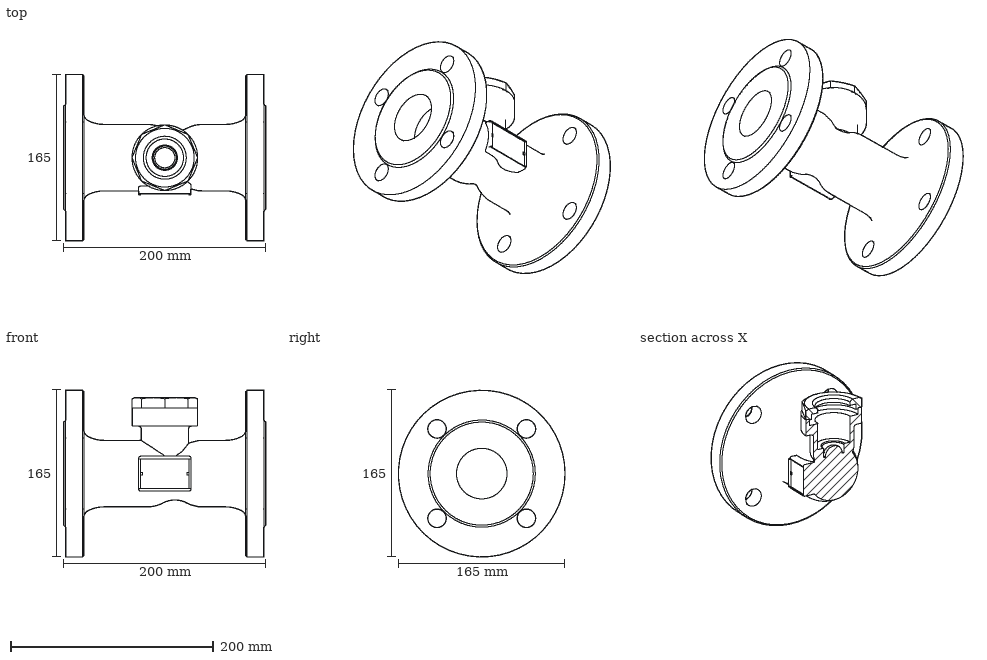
import cadquery as cq
import math

overall_length = 200.0
half_length = overall_length / 2
flange_diameter = 165.0
flange_thickness = 18.0
flange_chamfer = 1.5
raised_face_diameter = 106.0
raised_face_height = 2.0
raised_face_chamfer = 2.0
bolt_circle_diameter = 125.0
bolt_hole_diameter = 18.0
bolt_count = 4
bore_diameter = 50.0
bore_depth = 29.0

pipe_radius = 66.0 / 2
straight_end_x = 60.0
hub_end_x = 75.4
hub_end_radius = 36.5
hub_foot_radius = 42.3
waist_centre_x = 9.9
waist_half_length = 27.1
waist_inner_half_length = 11.9
waist_depth = 6.8

neck_radius = 47.0 / 2
neck_bottom_z = 17.0
neck_round_end_z = 20.1
neck_round_start_z = 23.2
neck_round_inset = 0.9
neck_foot_radius = neck_radius - 0.2
neck_top_z = 44.0
collar_radius = 65.0 / 2
collar_bottom_z = 46.9
collar_top_z = 64.7
collar_edge_round = 1.3
neck_flare_radius = neck_radius + collar_bottom_z - neck_top_z

seat_diameter = 56.0
seat_z = 57.7
chamber_diameter = 37.0
chamber_floor_z = 30.0
socket_diameter = 25.0
socket_floor_diameter = 23.0
dome_radius = 10.0
socket_floor_z = chamber_floor_z - dome_radius

plug_top_z = 75.5
plug_corner_diameter = 65.0
plug_side_count = 8
plug_face_diameter = 58.0
plug_edge_slope = math.radians(24)
spigot_bottom_z = 63.2
window_diameter = 37.0
window_chamfer = 2.75
window_lip_bottom_z = 68.7
glass_recess_diameter = 51.0

pad_half_width = 25.8
pad_half_height = 17.2
pad_front_y = -35.7
pad_edge_round = 2.3
pad_end_round = 1.8
plate_half_height = 14.7
plate_recess_depth = 0.6
end_bar_width = 1.9
end_bar_rise = 1.3
end_bar_round = 0.9
rivet_width = 2.0
rivet_height = 2.6


def cylinder_along_z(diameter, bottom_z, top_z):
    return cq.Workplane("XY").workplane(offset=bottom_z).circle(diameter / 2).extrude(top_z - bottom_z)


def tangent_arc_middle(start, end):
    """Middle point of the arc from start to end that leaves start parallel to the X axis."""
    dx = end[0] - start[0]
    dr = end[1] - start[1]
    quarter_angle = math.atan2(abs(dr), abs(dx)) / 2
    half_chord = math.hypot(dx, dr) / 2
    reach = half_chord / math.cos(quarter_angle)
    return (
        start[0] + math.copysign(reach * math.cos(quarter_angle), dx),
        start[1] + math.copysign(reach * math.sin(quarter_angle), dr),
    )


def make_end():
    """Flange with raised face and tapered hub at the +X end."""
    rim_x = half_length - raised_face_height
    back_x = rim_x - flange_thickness
    rim_radius = flange_diameter / 2
    face_radius = raised_face_diameter / 2
    hub_start = (straight_end_x, pipe_radius)
    hub_end = (hub_end_x, hub_end_radius)
    end = (
        cq.Workplane("XY")
        .moveTo(straight_end_x, 0)
        .lineTo(*hub_start)
        .threePointArc(tangent_arc_middle(hub_start, hub_end), hub_end)
        .tangentArcPoint((back_x, hub_foot_radius), relative=False)
        .lineTo(back_x, rim_radius - flange_chamfer)
        .lineTo(back_x + flange_chamfer, rim_radius)
        .lineTo(rim_x, rim_radius)
        .lineTo(rim_x, face_radius)
        .lineTo(half_length, face_radius - raised_face_chamfer)
        .lineTo(half_length, 0)
        .close()
        .revolve(360, (0, 0, 0), (1, 0, 0))
    )
    bolt_holes = (
        cq.Workplane("YZ")
        .workplane(offset=back_x)
        .polarArray(bolt_circle_diameter / 2, 180 / bolt_count, 360, bolt_count)
        .circle(bolt_hole_diameter / 2)
        .extrude(flange_thickness)
    )
    bore = (
        cq.Workplane("YZ")
        .workplane(offset=half_length - bore_depth)
        .circle(bore_diameter / 2)
        .extrude(bore_depth)
    )
    return end.cut(bolt_holes).cut(bore)


def make_pipe():
    """Round pipe between the hubs with a smooth waist of two mirrored S-curves."""
    waist_radius = pipe_radius - waist_depth
    shoulder_length = waist_half_length - waist_inner_half_length
    inflection_radius = pipe_radius - waist_depth * shoulder_length / waist_half_length
    left_start = (waist_centre_x - waist_half_length, pipe_radius)
    left_inflection = (waist_centre_x - waist_inner_half_length, inflection_radius)
    middle = (waist_centre_x, waist_radius)
    right_inflection = (waist_centre_x + waist_inner_half_length, inflection_radius)
    right_start = (waist_centre_x + waist_half_length, pipe_radius)
    return (
        cq.Workplane("XY")
        .moveTo(-straight_end_x, 0)
        .lineTo(-straight_end_x, pipe_radius)
        .lineTo(*left_start)
        .threePointArc(tangent_arc_middle(left_start, left_inflection), left_inflection)
        .threePointArc(tangent_arc_middle(middle, left_inflection), middle)
        .threePointArc(tangent_arc_middle(middle, right_inflection), right_inflection)
        .threePointArc(tangent_arc_middle(right_start, right_inflection), right_start)
        .lineTo(straight_end_x, pipe_radius)
        .lineTo(straight_end_x, 0)
        .close()
        .revolve(360, (0, 0, 0), (1, 0, 0))
    )


def make_neck():
    """Neck and collar turned about Z, with a shallow S-shaped groove round the foot of the neck."""
    groove_radius = neck_radius - neck_round_inset
    return (
        cq.Workplane("XZ")
        .moveTo(0, collar_top_z)
        .lineTo(collar_radius, collar_top_z)
        .lineTo(collar_radius, collar_bottom_z + collar_edge_round)
        .tangentArcPoint((-collar_edge_round, -collar_edge_round))
        .lineTo(neck_flare_radius, collar_bottom_z)
        .tangentArcPoint((neck_radius, neck_top_z), relative=False)
        .lineTo(neck_radius, neck_round_start_z)
        .tangentArcPoint((groove_radius, neck_round_end_z), relative=False)
        .tangentArcPoint((neck_foot_radius, neck_bottom_z), relative=False)
        .lineTo(0, neck_bottom_z)
        .close()
        .revolve(360, (0, 0, 0), (0, 1, 0))
    )


def make_chamber():
    """Hollow inside the neck: plug seat, round chamber and a socket with a chamfered mouth."""
    mouth_chamfer = (socket_diameter - socket_floor_diameter) / 2
    return (
        cq.Workplane("XZ")
        .moveTo(0, collar_top_z)
        .lineTo(seat_diameter / 2, collar_top_z)
        .lineTo(seat_diameter / 2, seat_z)
        .lineTo(chamber_diameter / 2, seat_z)
        .lineTo(chamber_diameter / 2, chamber_floor_z)
        .lineTo(socket_diameter / 2, chamber_floor_z)
        .lineTo(socket_floor_diameter / 2, chamber_floor_z - mouth_chamfer)
        .lineTo(socket_floor_diameter / 2, socket_floor_z)
        .lineTo(0, socket_floor_z)
        .close()
        .revolve(360, (0, 0, 0), (0, 1, 0))
    )


def front_block(width, depth, height, centre_x, front_y):
    """Block whose front face lies at front_y and that reaches back towards the pipe axis."""
    block = cq.Workplane("XY").box(width, depth, height, centered=(True, False, True))
    return block.translate((centre_x, front_y, 0))


def make_pad():
    """Name plate pad with rounded edges, a recessed plate face, end bars and two rivets."""
    recess_half_width = pad_half_width - end_bar_width
    recess_height = 2 * plate_half_height
    bar_depth = pad_edge_round + end_bar_rise
    bar_front_y = pad_front_y - end_bar_rise

    pad = front_block(2 * pad_half_width, -pad_front_y, 2 * pad_half_height, 0, pad_front_y)
    pad = pad.edges("<Y and |X").fillet(pad_edge_round)
    pad = pad.faces("<X or >X").edges("not >Y").fillet(pad_end_round)
    pad = pad.cut(front_block(2 * recess_half_width, plate_recess_depth, recess_height, 0, pad_front_y))
    for side in (-1, 1):
        bar_x = side * (pad_half_width - end_bar_width / 2)
        bar = front_block(end_bar_width, bar_depth, recess_height, bar_x, bar_front_y)
        bar = bar.edges("|Z and <Y").fillet(end_bar_round)
        rivet_x = side * (recess_half_width - rivet_width / 2)
        rivet = front_block(rivet_width, plate_recess_depth, rivet_height, rivet_x, pad_front_y)
        pad = pad.union(bar).union(rivet)
    return pad


def make_housing():
    """Flanged pipe with pad, neck and chamber; a round dome stands on the socket floor."""
    right_end = make_end()
    left_end = right_end.mirror("YZ")
    dome = cq.Workplane("XY").sphere(dome_radius).translate((0, 0, socket_floor_z))
    housing = make_pipe().union(right_end).union(left_end).union(make_pad()).union(make_neck())
    return housing.cut(make_chamber()).union(dome)


def make_plug():
    """Octagonal window plug: chamfered head, spigot, window opening and glass recess."""
    head_height = plug_top_z - collar_top_z
    head = (
        cq.Workplane("XY")
        .workplane(offset=collar_top_z)
        .polygon(plug_side_count, plug_corner_diameter)
        .extrude(head_height)
    )
    edge_drop = (plug_corner_diameter - plug_face_diameter) / 2 * math.tan(plug_edge_slope)
    corner_radius = plug_corner_diameter / 2
    head_limit = (
        cq.Workplane("XZ")
        .moveTo(0, collar_top_z)
        .lineTo(corner_radius, collar_top_z)
        .lineTo(corner_radius, plug_top_z - edge_drop)
        .lineTo(plug_face_diameter / 2, plug_top_z)
        .lineTo(0, plug_top_z)
        .close()
        .revolve(360, (0, 0, 0), (0, 1, 0))
    )
    spigot = cylinder_along_z(seat_diameter, spigot_bottom_z, collar_top_z)
    window = cylinder_along_z(window_diameter, window_lip_bottom_z, plug_top_z)
    glass_recess = cylinder_along_z(glass_recess_diameter, spigot_bottom_z, window_lip_bottom_z)
    plug = head.intersect(head_limit).union(spigot).cut(glass_recess).cut(window)
    window_rim = cq.selectors.RadiusNthSelector(0)
    return plug.faces(">Z").edges(window_rim).chamfer(window_chamfer)


housing = make_housing()
plug = make_plug()
result = cq.Compound.makeCompound([housing.val(), plug.val()])